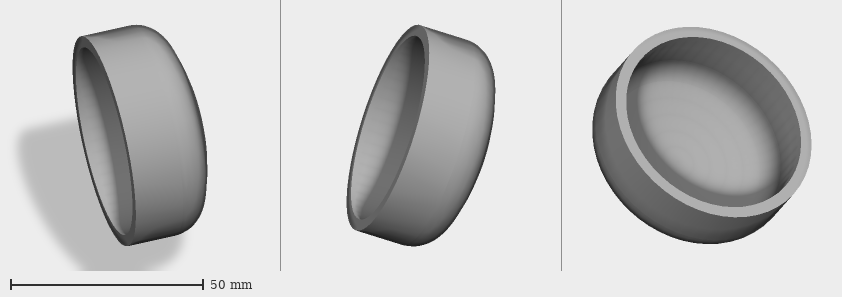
import cadquery as cq
import math

outer_diameter = 56.0
bore_diameter = 50.0
overall_height = 25.35
inner_crown_radius = outer_diameter
inner_knuckle_radius = 0.1 * outer_diameter

outer_radius = outer_diameter / 2
bore_radius = bore_diameter / 2
wall = outer_radius - bore_radius
outer_crown_radius = inner_crown_radius + wall
outer_knuckle_radius = inner_knuckle_radius + wall

crown_center_y = overall_height - outer_crown_radius
knuckle_center_x = bore_radius - inner_knuckle_radius
crown_angle = math.asin(knuckle_center_x / (inner_crown_radius - inner_knuckle_radius))
skirt_height = crown_center_y + knuckle_center_x / math.tan(crown_angle)


def crown_point(radius, angle):
    """Point on a crown arc, at an angle measured from the cap axis."""
    return radius * math.sin(angle), crown_center_y + radius * math.cos(angle)


def knuckle_middle(radius):
    """Midpoint of a knuckle arc."""
    angle = (crown_angle + math.pi / 2) / 2
    return knuckle_center_x + radius * math.sin(angle), skirt_height + radius * math.cos(angle)


half_section = (
    cq.Workplane("XY")
    .moveTo(bore_radius, 0)
    .lineTo(outer_radius, 0)
    .lineTo(outer_radius, skirt_height)
    .threePointArc(knuckle_middle(outer_knuckle_radius), crown_point(outer_crown_radius, crown_angle))
    .threePointArc(crown_point(outer_crown_radius, crown_angle / 2), crown_point(outer_crown_radius, 0))
    .lineTo(*crown_point(inner_crown_radius, 0))
    .threePointArc(
        crown_point(inner_crown_radius, crown_angle / 2), crown_point(inner_crown_radius, crown_angle)
    )
    .threePointArc(knuckle_middle(inner_knuckle_radius), (bore_radius, skirt_height))
    .close()
)

result = half_section.revolve(360, (0, 0, 0), (0, 1, 0))